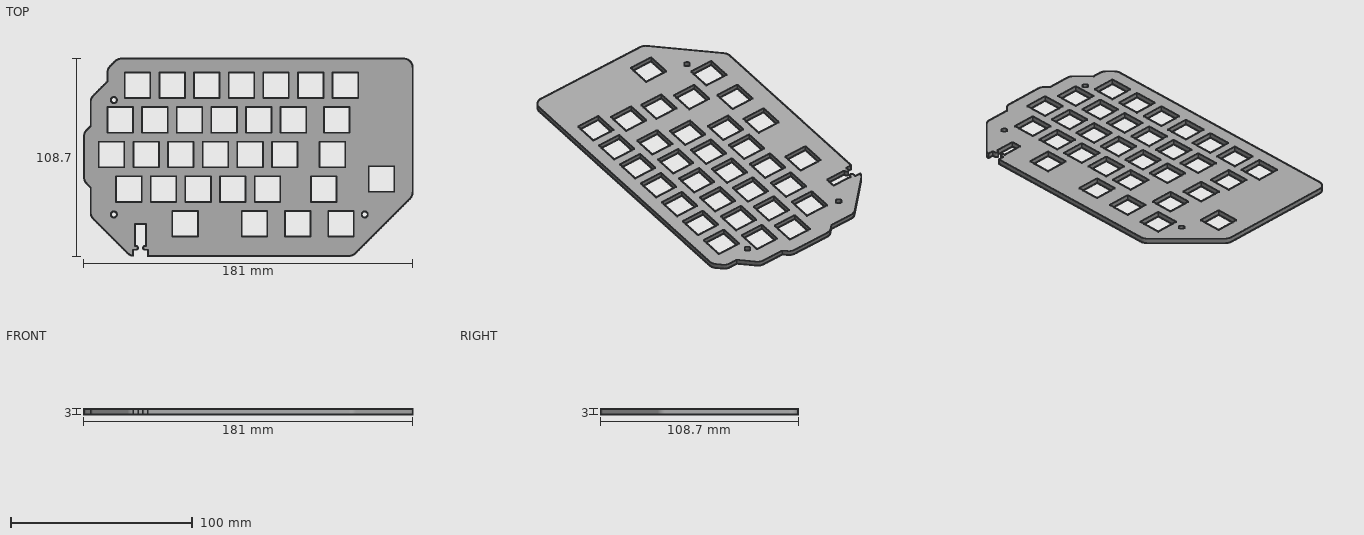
import cadquery as cq
LENGTH = 181.0
WIDTH = 108.7
THICKNESS = 3.0
CORNER_RADIUS = 5.0

RIGHT = LENGTH / 2
LEFT = -RIGHT
TOP = WIDTH / 2
BOTTOM = -TOP

BULGE_TOP = 13.5
BULGE_BOTTOM = -13.0
BULGE_STEP = 3.6
SIDE_X = LEFT + BULGE_STEP
SIDE_END_Y = 32.4
SHOULDER_STEP = 9.2
SHOULDER_X = SIDE_X + SHOULDER_STEP
TOP_LEFT_CHAMFER = 5.8
BOTTOM_LEFT_CHAMFER = -SIDE_END_Y - BOTTOM
BOTTOM_RIGHT_CHAMFER = 33.1

CUTOUT_SIZE = 14.0
TOP_ROW_KEYS = 7
TOP_ROW_SPAN = 114.3
KEY_PITCH = TOP_ROW_SPAN / (TOP_ROW_KEYS - 1)
FIRST_KEY_X = -61.0
FIRST_KEY_Y = 39.6
EXTRA_KEY = (73.3, -12.0)

KEY_ROWS = [
    list(range(TOP_ROW_KEYS)),
    [key - 0.5 for key in range(6)] + [5.75],
    [key - 0.75 for key in range(6)] + [5.625],
    [key - 0.25 for key in range(5)] + [5.375],
    [1.375, 3.375, 4.625, 5.875],
]

HOLE_DIAMETER = 3.3
HOLE_LEFT_X = -74.0
HOLE_RIGHT_X = 64.0
HOLE_Y = 31.5
HOLES = [(HOLE_LEFT_X, HOLE_Y), (HOLE_LEFT_X, -HOLE_Y), (HOLE_RIGHT_X, -HOLE_Y)]

SLOT_X = -59.3
MOUTH_WIDTH = 8.1
MOUTH_DEPTH = 3.5
NECK_WIDTH = 2.7
LIP_RADIUS = 1.0
CHAMBER_WIDTH = 6.0
CHAMBER_DEPTH = 12.0


def plate():
    corners = [
        (SHOULDER_X, SIDE_END_Y + SHOULDER_STEP, False),
        (SHOULDER_X, TOP - TOP_LEFT_CHAMFER, True),
        (SHOULDER_X + TOP_LEFT_CHAMFER, TOP, True),
        (RIGHT, TOP, True),
        (RIGHT, BOTTOM + BOTTOM_RIGHT_CHAMFER, True),
        (RIGHT - BOTTOM_RIGHT_CHAMFER, BOTTOM, True),
        (SIDE_X + BOTTOM_LEFT_CHAMFER, BOTTOM, True),
        (SIDE_X, BOTTOM + BOTTOM_LEFT_CHAMFER, True),
        (SIDE_X, BULGE_BOTTOM - BULGE_STEP, False),
        (LEFT, BULGE_BOTTOM, True),
        (LEFT, BULGE_TOP, True),
        (SIDE_X, BULGE_TOP + BULGE_STEP, False),
        (SIDE_X, SIDE_END_Y, True),
    ]
    outline = [(x, y) for x, y, _ in corners]
    body = cq.Workplane("XY").polyline(outline).close().extrude(THICKNESS)
    for x, y, rounded in corners:
        if rounded:
            corner_edge = cq.selectors.NearestToPointSelector((x, y, THICKNESS / 2))
            body = body.edges("|Z").edges(corner_edge).fillet(CORNER_RADIUS)
    return body


def key_cutouts():
    centres = [
        (FIRST_KEY_X + key * KEY_PITCH, FIRST_KEY_Y - row * KEY_PITCH)
        for row, keys in enumerate(KEY_ROWS)
        for key in keys
    ]
    centres.append(EXTRA_KEY)
    return cq.Workplane("XY").pushPoints(centres).rect(CUTOUT_SIZE, CUTOUT_SIZE).extrude(THICKNESS)


def screw_holes():
    return cq.Workplane("XY").pushPoints(HOLES).circle(HOLE_DIAMETER / 2).extrude(THICKNESS)


def stepped_slot():
    lip_bottom = BOTTOM + MOUTH_DEPTH
    lip_middle = lip_bottom + LIP_RADIUS
    lip_top = lip_middle + LIP_RADIUS
    chamber_top = lip_top + CHAMBER_DEPTH
    half_mouth = MOUTH_WIDTH / 2
    half_neck = NECK_WIDTH / 2
    half_chamber = CHAMBER_WIDTH / 2
    lip_centre = half_neck + LIP_RADIUS
    profile = (
        cq.Workplane("XY", origin=(SLOT_X, 0, 0))
        .moveTo(-half_mouth, BOTTOM)
        .lineTo(half_mouth, BOTTOM)
        .lineTo(half_mouth, lip_bottom)
        .lineTo(lip_centre, lip_bottom)
        .threePointArc((half_neck, lip_middle), (lip_centre, lip_top))
        .lineTo(half_chamber, lip_top)
        .lineTo(half_chamber, chamber_top)
        .lineTo(-half_chamber, chamber_top)
        .lineTo(-half_chamber, lip_top)
        .lineTo(-lip_centre, lip_top)
        .threePointArc((-half_neck, lip_middle), (-lip_centre, lip_bottom))
        .lineTo(-half_mouth, lip_bottom)
        .close()
    )
    return profile.extrude(THICKNESS)


result = plate().cut(key_cutouts()).cut(screw_holes()).cut(stepped_slot())